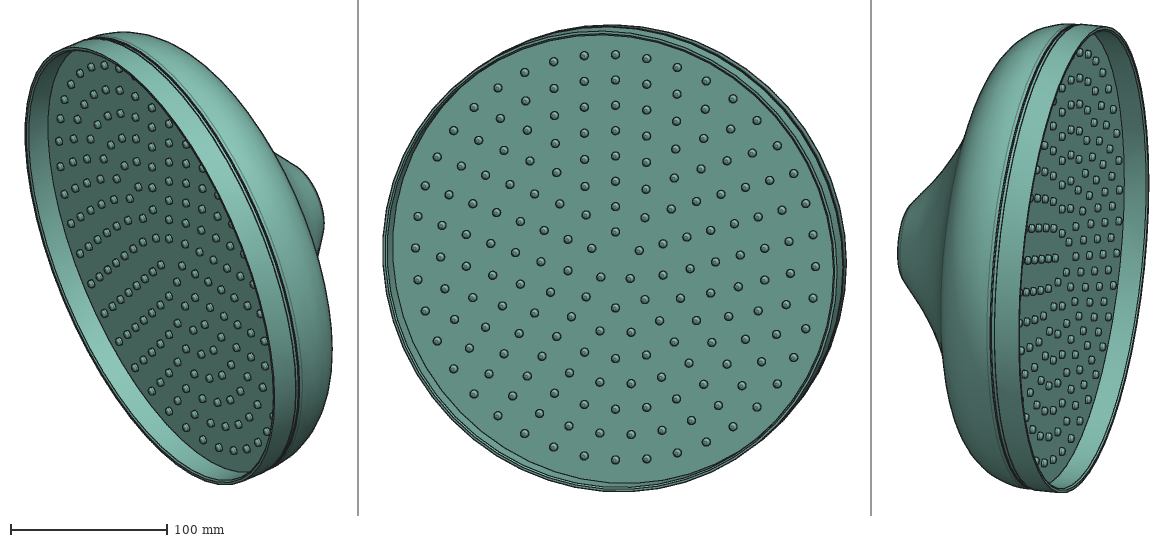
import cadquery as cq
import math

total_depth = 118.5

rim_radius = 150.0
rim_inner_radius = 147.3
rim_height = 16.2
rim_chamfer = 1.05
plate_depth = 15.5

body_diameter = 299.0
body_radius = body_diameter / 2
seam_start = 18.3
seam_width = 1.0
seam_depth = 0.3
shoulder_start = 21.3
shoulder_end = 60.5
shoulder_end_radius = 120.0

neck_radius = 27.0
neck_end = 114.5

nozzle_rings = 8
nozzles_per_ring_step = 5
ring_spacing = 16.5
nozzle_radius = 2.55
nozzle_tip_radius = 1.0
nozzle_height = 3.0
nozzle_root = 0.5


def arc_end_angle(start, end, start_angle):
    """Direction of a circular arc at its end, given both ends and its start direction."""
    chord_angle = math.atan2(end[1] - start[1], end[0] - start[0])
    return 2 * chord_angle - start_angle


def make_head():
    """Revolved body: recessed rim, thin seam groove, rounded shoulder, flared neck, rounded top."""
    seam_end = seam_start + seam_width
    shoulder_low = (body_radius, shoulder_start)
    shoulder_high = (shoulder_end_radius, shoulder_end)
    neck = (neck_radius, neck_end)

    shoulder_angle = arc_end_angle(shoulder_low, shoulder_high, math.pi / 2)
    neck_angle = arc_end_angle(shoulder_high, neck, shoulder_angle)
    rounding_chord_angle = (neck_angle + math.pi) / 2
    top_drop = total_depth - neck_end
    top_radius = neck_radius + top_drop / math.tan(rounding_chord_angle)

    profile = (
        cq.Workplane("XY")
        .moveTo(0, plate_depth)
        .lineTo(rim_inner_radius, plate_depth)
        .lineTo(rim_inner_radius, rim_chamfer)
        .lineTo(rim_inner_radius + rim_chamfer, 0)
        .lineTo(rim_radius, 0)
        .lineTo(rim_radius, rim_height)
        .lineTo(body_radius, rim_height)
        .lineTo(body_radius, seam_start)
        .lineTo(body_radius - seam_depth, seam_start)
        .lineTo(body_radius - seam_depth, seam_end)
        .lineTo(body_radius, seam_end)
        .lineTo(*shoulder_low)
        .tangentArcPoint(shoulder_high, relative=False)
        .tangentArcPoint(neck, relative=False)
        .tangentArcPoint((top_radius, total_depth), relative=False)
        .lineTo(0, total_depth)
        .close()
    )
    return profile.revolve(360, (0, 0, 0), (0, 1, 0))


def make_nozzle():
    """Round-shouldered nozzle on the Y axis, rooted in the plate and pointing to -Y."""
    tip = plate_depth - nozzle_height
    rounding = nozzle_radius - nozzle_tip_radius
    profile = (
        cq.Workplane("XY")
        .moveTo(0, tip)
        .lineTo(nozzle_tip_radius, tip)
        .tangentArcPoint((nozzle_radius, tip + rounding), relative=False)
        .lineTo(nozzle_radius, plate_depth + nozzle_root)
        .lineTo(0, plate_depth + nozzle_root)
        .close()
    )
    return profile.revolve(360, (0, 0, 0), (0, 1, 0)).val()


def nozzle_positions():
    """Concentric rings; each ring has five more nozzles than the one inside it."""
    positions = []
    for ring in range(1, nozzle_rings + 1):
        count = nozzles_per_ring_step * ring
        for index in range(count):
            angle = math.pi / 2 + 2 * math.pi * index / count
            radius = ring_spacing * ring
            positions.append((radius * math.cos(angle), radius * math.sin(angle)))
    return positions


nozzle = make_nozzle()
nozzles = [nozzle.translate(cq.Vector(x, 0, z)) for x, z in nozzle_positions()]
result = cq.Workplane("XY").newObject([make_head().val().fuse(*nozzles)])